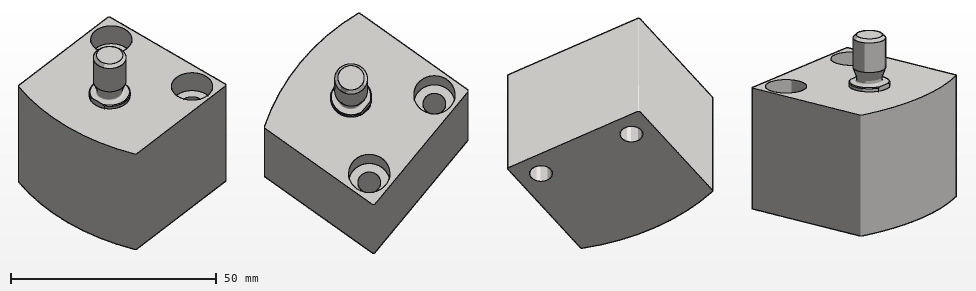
import cadquery as cq
import math


block_width = 38.0
block_depth = 37.0
total_height = 44.1
stud_projection = 13.0
block_height = total_height - stud_projection
front_radius = 55.0
corner_radius = 0.5
stud_to_back = 21.5

hole_diameter = 5.5
counterbore_diameter = 10.0
counterbore_depth = 5.8
hole_spacing = 26.0
hole_to_back = 6.0

flange_diameter = 10.0
flange_height = 1.0
recess_depth = 1.0
flange_chamfer = 0.2
flats_width = 9.0
neck_diameter = 6.2
neck_fillet = 0.5
taper_start = 2.15
taper_end = 4.65
stud_diameter = 8.0
tip_chamfer = 0.8


def make_block():
    """Block with a curved front, two counterbored holes and a stud recess."""
    half_width = block_width / 2
    back = stud_to_back
    crown = back - block_depth
    front_corner = crown + front_radius - math.sqrt(front_radius**2 - half_width**2)
    body = (
        cq.Workplane("XY")
        .moveTo(-half_width, back)
        .lineTo(-half_width, front_corner)
        .threePointArc((0, crown), (half_width, front_corner))
        .lineTo(half_width, back)
        .close()
        .extrude(block_height)
        .edges("|Z")
        .fillet(corner_radius)
    )
    hole_y = back - hole_to_back
    top = cq.Workplane("XY").workplane(offset=block_height)
    for hole_x in (-hole_spacing / 2, hole_spacing / 2):
        center = top.center(hole_x, hole_y)
        body = body.cut(center.circle(hole_diameter / 2).extrude(-block_height))
        body = body.cut(center.circle(counterbore_diameter / 2).extrude(-counterbore_depth))
    return body.cut(top.circle(flange_diameter / 2).extrude(-recess_depth))


def make_flange():
    """Chamfered disc with two wrench flats facing front and back."""
    thickness = recess_depth + flange_height
    disc = (
        cq.Workplane("XY")
        .circle(flange_diameter / 2)
        .extrude(thickness)
        .faces(">Z")
        .chamfer(flange_chamfer)
    )
    flats = cq.Workplane("XY").box(
        flange_diameter, flats_width, thickness, centered=(True, True, False)
    )
    return disc.intersect(flats).translate((0, 0, block_height - recess_depth))


def make_shank():
    """Round shank: filleted neck, taper and chamfered cylinder."""
    neck_radius = neck_diameter / 2
    stud_radius = stud_diameter / 2
    neck_base = block_height + flange_height
    taper_base = block_height + taper_start
    taper_top = block_height + taper_end

    taper_angle = math.atan2(stud_radius - neck_radius, taper_end - taper_start)
    blend_length = neck_fillet * math.tan(taper_angle / 2)
    blend_end = (
        neck_radius + blend_length * math.sin(taper_angle),
        taper_base + blend_length * math.cos(taper_angle),
    )
    return (
        cq.Workplane("XZ")
        .moveTo(0, neck_base)
        .lineTo(neck_radius + neck_fillet, neck_base)
        .radiusArc((neck_radius, neck_base + neck_fillet), neck_fillet)
        .lineTo(neck_radius, taper_base - blend_length)
        .tangentArcPoint(blend_end, relative=False)
        .lineTo(stud_radius, taper_top)
        .lineTo(stud_radius, total_height - tip_chamfer)
        .lineTo(stud_radius - tip_chamfer, total_height)
        .lineTo(0, total_height)
        .close()
        .revolve(360, (0, 0, 0), (0, 1, 0))
    )


def make_stud():
    """Stud: shank and flange as one solid."""
    return make_flange().union(make_shank())


block = make_block()
stud = make_stud()

result = cq.Compound.makeCompound([block.val(), *stud.vals()])